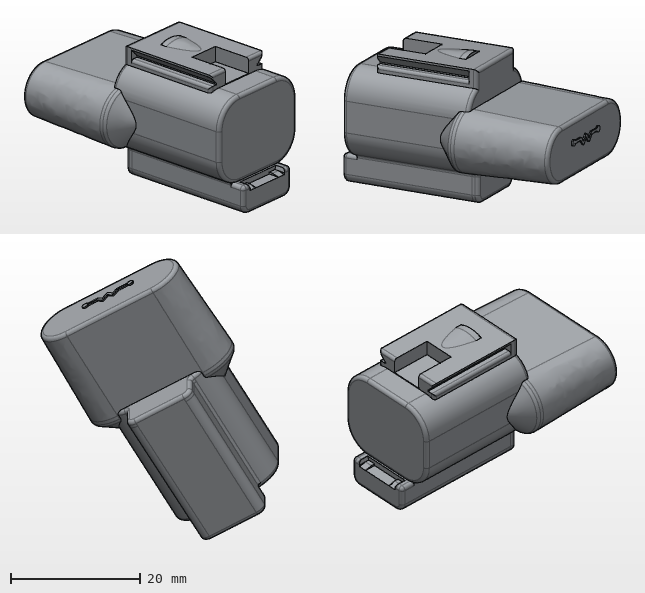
import cadquery as cq
import math

symbol_height = 0.25
pod_front = symbol_height
housing_front = 15.8
pod_draft_end = 16.45
pod_rim_end = 17.4
latch_end = 33.5
housing_end = 37.8
keel_end = 39.7

edge_radius = 0.65

pod_front_radius = 4.55
pod_front_center = 7.65
pod_rim_radius = 5.15
pod_rim_center = 7.6
pod_shoulder_angle = 47.0
pod_shoulder_inset = 3.97
pod_shoulder_radius = 0.8

housing_half_width = 9.15
housing_top = 8.4
housing_bottom = -6.27
housing_corner = 4.75

latch_top = 11.1
latch_half_width = 6.25
latch_end_radius = 0.5

pocket_start = 26.68
pocket_half_width = 2.75
pocket_floor = 8.55

groove_start = 17.25
groove_depth = 1.35
groove_rim_bottom = 10.75
groove_wall_top = 9.35
groove_floor = 9.15
groove_lip_radius = latch_end_radius

bump_start = 19.9
bump_crest_end = 21.0
bump_tip = 25.9
bump_height = 0.48
bump_half_width = 2.3
bump_root = 0.4

keel_bottom = -11.0
keel_half_width = 5.75
keel_end_half_width = 5.65
keel_draft_start = 16.95
keel_bottom_radius = 1.45

blend_end = housing_end - edge_radius

channel_top_half_width = 4.25
channel_ledge_half_width = 4.0
channel_floor_half_width = 2.65
ledge_depth = 0.65
ramp_start = 38.45
ramp_drop = 0.3

symbol_z = 1.05
symbol_pad_y = 4.0
symbol_pad_radius = 0.5
symbol_stroke = 0.48
zigzag_half_width = 1.75
zigzag_low_y = 0.9
zigzag_low_z = 0.08
zigzag_peak_z = 1.2


def cross_section(x):
    """Workplane across the part at x, with local axes along Y and Z."""
    return cq.Workplane("YZ", origin=(x, 0, 0))


def box(x_range, y_range, z_range):
    """Box between the given limits on each axis."""
    lengths = [high - low for low, high in (x_range, y_range, z_range)]
    corner = (x_range[0], y_range[0], z_range[0])
    return cq.Workplane("XY").box(*lengths, centered=False).translate(corner)


def stadium(plane, center, radius):
    """Stadium outline with its end centres at +-center along Y."""
    return plane.slot2D(2 * (center + radius), 2 * radius)


def make_pod():
    """Drafted front shell, a short straight rim and a shoulder that slopes into the housing."""
    shell = stadium(cross_section(pod_front), pod_front_center, pod_front_radius)
    shell = shell.workplane(offset=pod_draft_end - pod_front)
    shell = stadium(shell, pod_rim_center, pod_rim_radius).loft(ruled=True)
    shell = shell.faces("<X").edges().fillet(edge_radius)

    rim = stadium(cross_section(pod_draft_end), pod_rim_center, pod_rim_radius)
    rim = rim.extrude(pod_rim_end - pod_draft_end)

    shoulder_length = pod_shoulder_inset / math.tan(math.radians(pod_shoulder_angle))
    shoulder = stadium(cross_section(pod_rim_end), pod_rim_center, pod_rim_radius)
    shoulder = shoulder.extrude(shoulder_length, taper=pod_shoulder_angle)
    rim = rim.union(shoulder)
    shoulder_edges = rim.edges().filter(lambda edge: math.isclose(edge.Center().x, pod_rim_end))
    rim = shoulder_edges.fillet(pod_shoulder_radius)
    return shell.union(rim)


def make_housing_bar(end):
    """Bar with the housing's cross-section, from the housing front to the given end."""
    bar = box(
        (housing_front, end),
        (-housing_half_width, housing_half_width),
        (housing_bottom, housing_top),
    )
    return bar.edges("|X").fillet(housing_corner)


def make_latch():
    """Block rising from the middle of the housing, with its free end rounded."""
    block = box(
        (housing_front, latch_end),
        (-latch_half_width, latch_half_width),
        (0, latch_top),
    )
    return block.faces(">X").edges("|Z or >Z").fillet(latch_end_radius)


def keel_half_width_at(x):
    """Half-width of the drafted part of the keel at the given station."""
    share = (x - keel_draft_start) / (keel_end - keel_draft_start)
    return keel_half_width + share * (keel_end_half_width - keel_half_width)


def make_keel():
    """Long block from the middle of the housing downward, narrowing slightly toward its end."""
    front, end = keel_half_width, keel_end_half_width
    plan = [
        (housing_front, -front),
        (keel_draft_start, -front),
        (keel_end, -end),
        (keel_end, end),
        (keel_draft_start, front),
        (housing_front, front),
    ]
    keel = cq.Workplane("XY").polyline(plan).close().extrude(keel_bottom)
    keel = keel.faces("<Z").edges("not #X").fillet(keel_bottom_radius)
    keel = keel.cut(make_housing_bar(keel_end))
    top_side_edges = keel.edges("%ELLIPSE").edges(">Y or <Y")
    end_edges = keel.faces(">X").edges()
    return top_side_edges.add(end_edges).fillet(edge_radius)


def make_keel_blend(side):
    """Concave strip, round in section, joining one side of the keel to the housing's lower corner."""
    corner_y = housing_half_width - housing_corner
    corner_z = housing_bottom + housing_corner
    root_z = housing_bottom - 2 * edge_radius
    reach = housing_corner + edge_radius
    share = housing_corner / reach

    def section(x, half_width):
        center_y = half_width + edge_radius
        center_z = corner_z - math.sqrt(reach**2 - (center_y - corner_y) ** 2)
        touch_y = corner_y + share * (center_y - corner_y)
        touch_z = corner_z + share * (center_z - corner_z)
        angle = (math.pi + math.atan2(touch_z - center_z, touch_y - center_y)) / 2
        middle_y = center_y + edge_radius * math.cos(angle)
        middle_z = center_z + edge_radius * math.sin(angle)
        outline = cross_section(x).moveTo(side * corner_y, root_z).lineTo(side * half_width, root_z)
        outline = outline.lineTo(side * half_width, center_z)
        outline = outline.threePointArc((side * middle_y, middle_z), (side * touch_y, touch_z))
        return outline.lineTo(side * corner_y, corner_z).close().wires().val()

    stations = [
        (housing_front, keel_half_width),
        (keel_draft_start, keel_half_width),
        (blend_end, keel_half_width_at(blend_end)),
    ]
    sections = [section(x, half_width) for x, half_width in stations]
    return cq.Workplane(cq.Solid.makeLoft(sections, True))


def make_groove(side):
    """Cutter for the groove on one side of the latch block; its upper wall slopes in under the rim."""
    outer = latch_half_width
    inner = outer - groove_depth
    middle_offset = groove_lip_radius * (1 - math.sqrt(0.5))
    section = [
        (outer, groove_rim_bottom),
        (inner, groove_wall_top),
        (inner, groove_floor),
        (outer - groove_lip_radius, groove_floor),
    ]
    section = [(side * y, z) for y, z in section]
    lip_middle = (side * (outer - middle_offset), groove_floor - middle_offset)
    lip_end = (side * outer, groove_floor - groove_lip_radius)
    groove = cross_section(groove_start).polyline(section)
    groove = groove.threePointArc(lip_middle, lip_end).close()
    return groove.extrude(latch_end - groove_start)


def make_pocket():
    """Cutter for the pocket, open at the free end of the latch block."""
    return box(
        (pocket_start, latch_end),
        (-pocket_half_width, pocket_half_width),
        (pocket_floor, latch_top),
    )


def make_bump():
    """Rounded crest that slopes down to nothing at the tip."""
    bump_radius = (bump_half_width**2 + bump_height**2) / (2 * bump_height)
    root_z = latch_top - bump_root
    root_y = math.sqrt(bump_radius**2 - (bump_radius - bump_height - bump_root) ** 2)

    def arch(x):
        outline = cross_section(x).moveTo(-root_y, root_z)
        outline = outline.threePointArc((0, latch_top + bump_height), (root_y, root_z))
        return outline.close()

    crest = arch(bump_start).extrude(bump_crest_end - bump_start)
    slope_face = cq.Face.makeFromWires(arch(bump_crest_end).wires().val())
    slope = cq.Solid.extrudeLinear(
        slope_face, cq.Vector(bump_tip - bump_crest_end, 0, -bump_height)
    )
    return crest.union(cq.Workplane(slope))


def make_channel():
    """Cutter for the channel: a deep middle between ledges that ramp down to it at the keel's end."""
    top = housing_bottom
    ledge = top - ledge_depth
    floor = ledge - ramp_drop
    upper_section = [
        (-channel_top_half_width, top),
        (-channel_ledge_half_width, ledge),
        (channel_ledge_half_width, ledge),
        (channel_top_half_width, top),
    ]
    upper = cross_section(housing_end).polyline(upper_section).close()
    upper = upper.extrude(keel_end - housing_end)
    middle = box(
        (housing_end, keel_end),
        (-channel_floor_half_width, channel_floor_half_width),
        (floor, ledge),
    )
    ramps = (
        cq.Workplane("XZ")
        .polyline([(ramp_start, ledge), (keel_end, ledge), (keel_end, floor)])
        .close()
        .extrude(channel_ledge_half_width, both=True)
    )
    return upper.union(middle).union(ramps)


def make_symbol():
    """Zigzag resistor with a round terminal at each end of its lead."""
    centerline = [
        (-symbol_pad_y, symbol_z),
        (-zigzag_half_width, symbol_z),
        (-zigzag_low_y, zigzag_low_z),
        (0, zigzag_peak_z),
        (zigzag_low_y, zigzag_low_z),
        (zigzag_half_width, symbol_z),
        (symbol_pad_y, symbol_z),
    ]
    plane = cross_section(0)
    line = plane.polyline(centerline).offset2D(symbol_stroke / 2).extrude(symbol_height)
    pads = plane.pushPoints([centerline[0], centerline[-1]]).circle(symbol_pad_radius)
    return line.union(pads.extrude(symbol_height))


result = make_housing_bar(housing_end).faces(">X").edges().fillet(edge_radius)
result = result.union(make_latch()).union(make_keel())
for side in (-1, 1):
    result = result.union(make_keel_blend(side))
result = result.faces("<X").edges().fillet(edge_radius)

for side in (-1, 1):
    result = result.cut(make_groove(side))
result = result.cut(make_pocket()).cut(make_channel())
result = result.union(make_bump()).union(make_pod()).union(make_symbol())